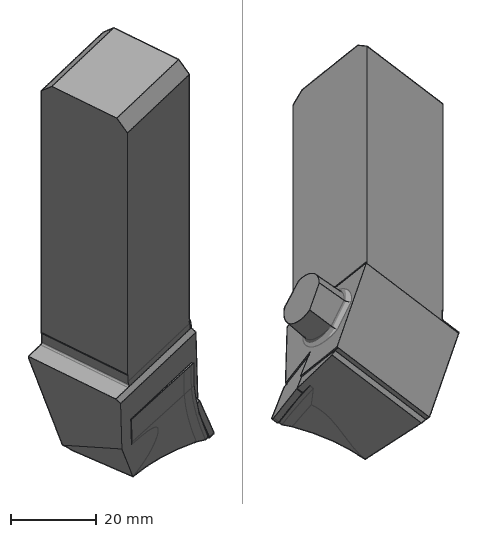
import cadquery as cq
import math


SHANK_SIZE = 24.9
SHANK_REAR = -0.2
SHANK_FRONT = SHANK_REAR - SHANK_SIZE
TOOL_LENGTH = 114.0
SHANK_CHAMFER = 3.1

HEAD_DEPTH = 30.2
HEAD_TOP = 30.1
HEAD_SLANT_TOP = 29.6
HEEL = (9.8, 7.1)
HEEL_LIP = (10.8, 7.0)
HEEL_STEP = (11.9, 6.2)
HEAD_CORNER = (27.2, 3.4)
SHOULDER = (26.6, 29.4)
SHOULDER_START_X = 25.2
NECK_RISE = 1.4
FACET_END = (27.0, 15.2)
FACET_SETBACK = 4.0

GROOVE_HEIGHT = 3.5
GROOVE_DEPTH = 0.2
GROOVE_FILLET = 0.5

INSERT_ANGLE = 35.0
INSERT_EDGE = 10.3
INSERT_NOSE_RADIUS = 0.5
INSERT_REAR = -0.3
INSERT_THICKNESS = 1.8
SEAT_Y = INSERT_REAR - INSERT_THICKNESS
TIP_X = 32.0
TIP_AXIS_ANGLE = 135.0

BEAK_TOP = (27.5, 21.8)
BEAK_BEND = (27.6, 14.6)
BEAK_ROOT = (16.0, 16.0)
NOSE_TIPS = [
    (SEAT_Y, 31.7, 0.3),
    (-3.3, 31.7, 0.3),
    (-6.0, 31.0, 1.4),
]
THROAT_TIPS = [
    NOSE_TIPS[-1],
    (-10.8, 29.4, 1.9),
    (-18.2, 27.9, 2.8),
    (-26.5, *HEAD_CORNER),
]
BEAK_SAG = 0.05

BOSS_X = 13.1
BOSS_Z = 20.9
BOSS_RADIUS = 7.0
BOSS_TAPER = 3.0
BOSS_HEIGHT = 9.2
BOSS_END_FALL = 0.09
BOSS_FILLET = 1.3
FLAT_START_ANGLE = 85.0
FLAT_END_ANGLE = 22.0


def plane_at(y):
    """XZ plane at the given Y, whose normal points toward -Y."""
    return cq.Workplane("XZ", origin=(0, y, 0))


def make_shank():
    length = TOOL_LENGTH - HEAD_TOP
    shank = cq.Workplane("XY").box(SHANK_SIZE, SHANK_SIZE, length, centered=False)
    shank = shank.translate((0, SHANK_FRONT, HEAD_TOP))
    shank = shank.faces(">Z").edges("|Y").chamfer(SHANK_CHAMFER)
    groove = cq.Workplane("XY").box(SHANK_SIZE, GROOVE_DEPTH, GROOVE_HEIGHT, centered=False)
    return shank.cut(groove.translate((0, SHANK_FRONT, HEAD_TOP)))


def make_neck():
    """Small wedge that widens the shank's +X side into the head."""
    neck = plane_at(SHANK_REAR).polyline([
        (SHANK_SIZE, HEAD_TOP),
        (SHANK_SIZE, HEAD_TOP + NECK_RISE),
        (SHOULDER_START_X, HEAD_TOP),
    ]).close()
    return neck.extrude(SHANK_SIZE - GROOVE_DEPTH)


def make_head():
    return plane_at(0).polyline([
        (0, HEAD_TOP),
        (0, HEAD_SLANT_TOP),
        HEEL,
        HEEL_LIP,
        HEEL_STEP,
        HEAD_CORNER,
        SHOULDER,
        (SHOULDER_START_X, HEAD_TOP),
    ]).close().extrude(HEAD_DEPTH)


def sagged_middle(start, end):
    """Middle of a chord moved to the left of its direction, into the beak."""
    dx = end[0] - start[0]
    dz = end[1] - start[1]
    return ((start[0] + end[0]) / 2 - BEAK_SAG * dz, (start[1] + end[1]) / 2 + BEAK_SAG * dx)


def beak_section(y, tip_x, tip_z):
    """Hollow-sided point reaching from the head to the tip at one level."""
    tip = (tip_x, tip_z)
    reach = (tip_x - HEAD_CORNER[0]) / (NOSE_TIPS[0][1] - HEAD_CORNER[0])
    inset = (1 - reach) * (BEAK_TOP[0] - SHOULDER[0]) / 2
    top = (BEAK_TOP[0] - inset, BEAK_TOP[1])
    bend = (BEAK_BEND[0] - inset, BEAK_BEND[1])
    section = plane_at(y).moveTo(*HEEL_STEP)
    section = section.threePointArc(sagged_middle(HEEL_STEP, tip), tip)
    section = section.threePointArc(sagged_middle(tip, bend), bend)
    return section.lineTo(*top).lineTo(*BEAK_ROOT).close().wires().val()


def make_beak():
    nose = cq.Solid.makeLoft([beak_section(*tip) for tip in NOSE_TIPS], True)
    throat = cq.Solid.makeLoft([beak_section(*tip) for tip in THROAT_TIPS], False)
    return cq.Workplane(nose).union(cq.Workplane(throat))


def make_facet_cutter():
    """Wedge that bevels the lower front of the head along a sloping line."""
    run = math.hypot(FACET_END[0] - HEEL[0], FACET_END[1] - HEEL[1])
    along = ((FACET_END[0] - HEEL[0]) / run, (FACET_END[1] - HEEL[1]) / run)
    to_corner = (HEAD_CORNER[0] - HEEL[0], HEAD_CORNER[1] - HEEL[1])
    drop = along[1] * to_corner[0] - along[0] * to_corner[1]
    plane = cq.Plane(
        origin=(HEEL[0], -HEAD_DEPTH, HEEL[1]),
        xDir=(along[1], 0, -along[0]),
        normal=(along[0], 0, along[1]),
    )
    triangle = [(0, 0), (2 * drop, 0), (2 * drop, 2 * FACET_SETBACK)]
    wedge = cq.Workplane(plane).polyline(triangle).close()
    return wedge.extrude(2 * run, both=True)


def make_boss():
    def rim(angle):
        turn = math.radians(angle)
        return (BOSS_X + BOSS_RADIUS * math.cos(turn), BOSS_Z + BOSS_RADIUS * math.sin(turn))

    mirror = 2 * TIP_AXIS_ANGLE
    profile = cq.Workplane("XZ").moveTo(*rim(FLAT_START_ANGLE))
    profile = profile.threePointArc(rim(TIP_AXIS_ANGLE), rim(mirror - FLAT_START_ANGLE))
    profile = profile.lineTo(*rim(mirror - FLAT_END_ANGLE))
    profile = profile.threePointArc(rim(TIP_AXIS_ANGLE + 180), rim(FLAT_END_ANGLE)).close()
    boss = profile.extrude(-2 * BOSS_HEIGHT, taper=BOSS_TAPER)

    high_point = (
        rim(TIP_AXIS_ANGLE)[0],
        BOSS_HEIGHT,
        rim(TIP_AXIS_ANGLE)[1],
    )
    end_plane = cq.Plane(origin=high_point, xDir=(1, -BOSS_END_FALL, 0),
                         normal=(BOSS_END_FALL, 1, -BOSS_END_FALL))
    trim_size = 8 * BOSS_RADIUS
    return boss.cut(cq.Workplane(end_plane).rect(trim_size, trim_size).extrude(trim_size))


def make_insert():
    half_angle = math.radians(INSERT_ANGLE / 2)
    axis = math.radians(TIP_AXIS_ANGLE)
    nose_offset = INSERT_NOSE_RADIUS / math.sin(half_angle)
    sharp_x = TIP_X - INSERT_NOSE_RADIUS - nose_offset * math.cos(axis)
    sharp_z = INSERT_NOSE_RADIUS - nose_offset * math.sin(axis)

    def from_tip(distance, angle):
        return (sharp_x + distance * math.cos(angle), sharp_z + distance * math.sin(angle))

    insert = plane_at(INSERT_REAR).polyline([
        (sharp_x, sharp_z),
        from_tip(INSERT_EDGE, axis - half_angle),
        from_tip(2 * INSERT_EDGE * math.cos(half_angle), axis),
        from_tip(INSERT_EDGE, axis + half_angle),
    ]).close().extrude(INSERT_THICKNESS)
    nose = cq.selectors.NearestToPointSelector((sharp_x, INSERT_REAR, sharp_z))
    return insert.edges("|Y").edges(nose).fillet(INSERT_NOSE_RADIUS)


def make_rear_relief():
    """Shallow step that brings the rear face below the heel level with the insert."""
    return cq.Workplane("XY").box(TIP_X, -INSERT_REAR, HEEL[1], centered=False).translate(
        (0, INSERT_REAR, 0))


def make_pocket(insert):
    """Seat of the insert, open at the rear face of the head."""
    return insert.union(insert.translate((0, -INSERT_REAR, 0)))


def make_holder(insert):
    holder = make_head().union(make_shank()).union(make_neck()).union(make_beak())
    holder = holder.cut(make_facet_cutter())
    holder = holder.union(make_boss())
    foot_reach = 1.1 * BOSS_RADIUS
    boss_foot = cq.selectors.BoxSelector(
        (BOSS_X - foot_reach, -BOSS_FILLET / 2, BOSS_Z - foot_reach),
        (BOSS_X + foot_reach, BOSS_FILLET / 2, BOSS_Z + foot_reach),
        boundingbox=True,
    )
    ledge_corner = cq.selectors.NearestToPointSelector(
        (SHANK_SIZE / 2, SHANK_FRONT + GROOVE_DEPTH, HEAD_TOP))
    holder = holder.edges(boss_foot).fillet(BOSS_FILLET)
    holder = holder.edges(ledge_corner).fillet(GROOVE_FILLET)
    return holder.cut(make_rear_relief()).cut(make_pocket(insert))


insert = make_insert()
holder = make_holder(insert)
result = cq.Compound.makeCompound([holder.solids().val(), insert.val()])